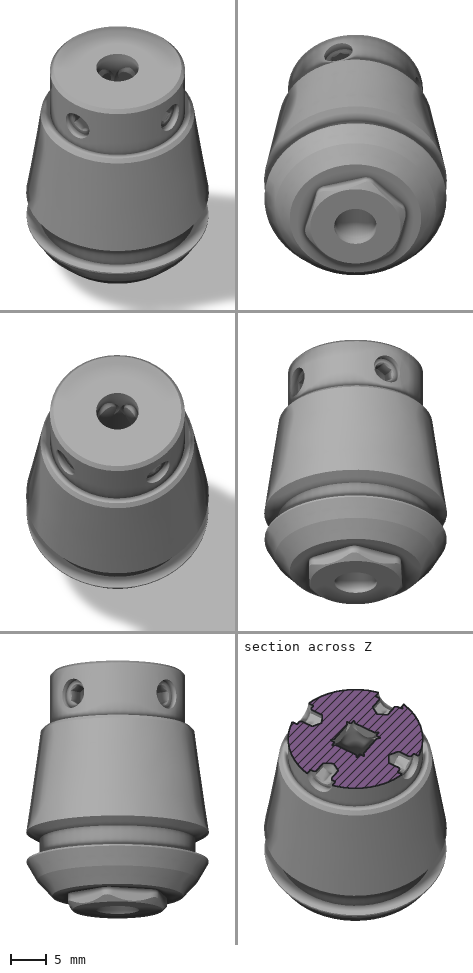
import cadquery as cq
import math

height = 34.0
nut_top = 1.97
flare_break = 4.2
flange_edge = 6.75
flange_top = 7.0
sleeve_bottom = 10.03
sleeve_widest = 11.1
sleeve_top = 26.0

head_diameter = 19.0
head_chamfer = 0.5
sleeve_top_diameter = 21.62
sleeve_diameter = 25.7
sleeve_chamfer = 0.5
neck_diameter = 22.0
flange_diameter = 25.6
flare_diameter = 22.65
flare_bottom_diameter = 18.5
bore_diameter = 6.0

nut_across_flats = 13.0
nut_corner_radius = 1.55
nut_end_diameter = 12.7

screw_count = 4
screw_hole_diameter = 4.15
screw_diameter = 5.0
screw_tip_diameter = 3.4
screw_length = 6.0
screw_tip_distance = 2.45
screw_height = 29.68
socket_across_flats = 2.5
socket_mouth_diameter = 3.0
socket_depth = 2.0
socket_point_angle = 118.0


def corner_diameter(across_flats):
    """Diameter of the circle through the corners of a hexagon."""
    return across_flats / math.cos(math.radians(30))


def make_body():
    """Head, tapered sleeve, neck and flared flange as one turned profile."""
    head_radius = head_diameter / 2
    sleeve_top_radius = sleeve_top_diameter / 2
    sleeve_radius = sleeve_diameter / 2
    neck_radius = neck_diameter / 2
    return (
        cq.Workplane("XZ")
        .moveTo(0, nut_top)
        .lineTo(flare_bottom_diameter / 2, nut_top)
        .lineTo(flare_diameter / 2, flare_break)
        .lineTo(flange_diameter / 2, flange_edge)
        .lineTo(flange_diameter / 2, flange_top)
        .lineTo(neck_radius, flange_top)
        .lineTo(neck_radius, sleeve_bottom)
        .lineTo(sleeve_radius, sleeve_widest)
        .lineTo(sleeve_top_radius, sleeve_top - sleeve_chamfer)
        .lineTo(sleeve_top_radius - sleeve_chamfer, sleeve_top)
        .lineTo(head_radius, sleeve_top)
        .lineTo(head_radius, height - head_chamfer)
        .lineTo(head_radius - head_chamfer, height)
        .lineTo(0, height)
        .close()
        .revolve(360, (0, 0), (0, 1))
    )


def make_nut():
    """Hexagon with rounded corners, its bottom end turned to a 45 degree chamfer."""
    hexagon = (
        cq.Workplane("XY")
        .polygon(6, corner_diameter(nut_across_flats))
        .extrude(nut_top)
        .edges("|Z")
        .fillet(nut_corner_radius)
    )
    end_radius = nut_end_diameter / 2
    chamfer_envelope = (
        cq.Workplane("XZ")
        .lineTo(end_radius, 0)
        .lineTo(end_radius + nut_top, nut_top)
        .lineTo(0, nut_top)
        .close()
        .revolve(360, (0, 0), (0, 1))
    )
    return hexagon.intersect(chamfer_envelope)


def make_screw_hole():
    """Cylinder along +X from the axis out through the head wall."""
    return cq.Workplane("YZ").circle(screw_hole_diameter / 2).extrude(head_diameter)


def make_screw():
    """Set screw along +X, chamfered at its tip, with a hexagonal socket in its outer end."""
    tip_chamfer = (screw_diameter - screw_tip_diameter) / 2
    socket_floor = screw_length - socket_depth
    socket_radius = socket_across_flats / 2
    mouth_radius = socket_mouth_diameter / 2
    mouth_depth = mouth_radius - socket_radius
    point_depth = socket_radius / math.tan(math.radians(socket_point_angle / 2))

    shank = (
        cq.Workplane("YZ")
        .circle(screw_diameter / 2)
        .extrude(screw_length)
        .faces("<X")
        .chamfer(tip_chamfer)
    )
    socket = (
        cq.Workplane("YZ", origin=(socket_floor, 0, 0))
        .polygon(6, corner_diameter(socket_across_flats))
        .extrude(socket_depth)
        .rotate((0, 0, 0), (1, 0, 0), 90)
    )
    drill = (
        cq.Workplane("XY")
        .moveTo(socket_floor - point_depth, 0)
        .lineTo(socket_floor, socket_radius)
        .lineTo(screw_length - mouth_depth, socket_radius)
        .lineTo(screw_length, mouth_radius)
        .lineTo(screw_length, 0)
        .close()
        .revolve(360, (0, 0), (1, 0))
    )
    return shank.cut(socket).cut(drill)


def place_around(shape, distance, index):
    """Move a shape lying along +X out from the axis and turn it to its position."""
    angle = 360 / screw_count * index
    return shape.translate((distance, 0, screw_height)).rotate((0, 0, 0), (0, 0, 1), angle)


bore = cq.Workplane("XY").circle(bore_diameter / 2).extrude(height)
result = make_body().union(make_nut()).cut(bore)

screw_hole = make_screw_hole()
screw = make_screw()
for index in range(screw_count):
    result = result.cut(place_around(screw_hole, 0, index))
for index in range(screw_count):
    result = result.union(place_around(screw, screw_tip_distance, index))